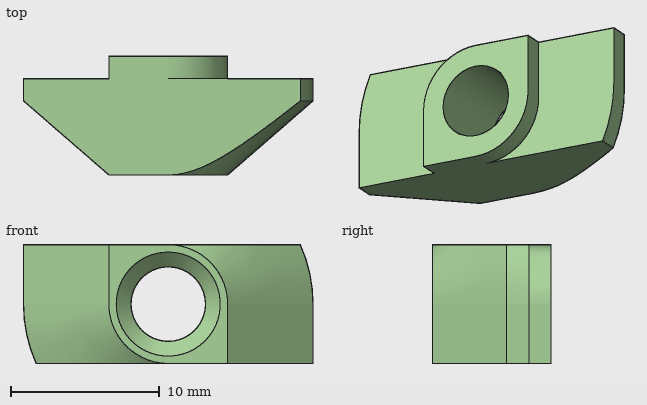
import cadquery as cq

length = 19.5
width = 8.0
depth = 8.0
neck_height = 1.5
wing_edge = 1.5
hole_diameter = 5.0
countersink_diameter = 7.0
countersink_angle = 90.0

half_length = length / 2
half_width = width / 2
front = -depth / 2
back = depth / 2
wing_back = back - neck_height
taper_end = wing_back - wing_edge

half_section = [
    (0, front),
    (half_width, front),
    (half_length, taper_end),
    (half_length, wing_back),
    (half_width, wing_back),
    (half_width, back),
    (0, back),
]


def square_quarter():
    """Flat-sided quarter of the nut at -X, +Z."""
    mirrored = [(-x, y) for x, y in half_section]
    return cq.Workplane("XY").polyline(mirrored).close().extrude(half_width)


def round_quarter():
    """Quarter at +X, +Z turned about the screw axis and trimmed to the width."""
    turned = cq.Workplane("XY").polyline(half_section).close().revolve(360, (0, 0), (0, 1))
    quarter_box = cq.Workplane("XY").box(half_length, depth, half_width, centered=(False, True, False))
    return turned.intersect(quarter_box)


upper_half = square_quarter().union(round_quarter())
lower_half = upper_half.rotate((0, 0, 0), (0, 1, 0), 180)
body = upper_half.union(lower_half)

result = (
    body.faces("<Y")
    .workplane(origin=(0, front, 0))
    .cskHole(hole_diameter, countersink_diameter, countersink_angle)
)